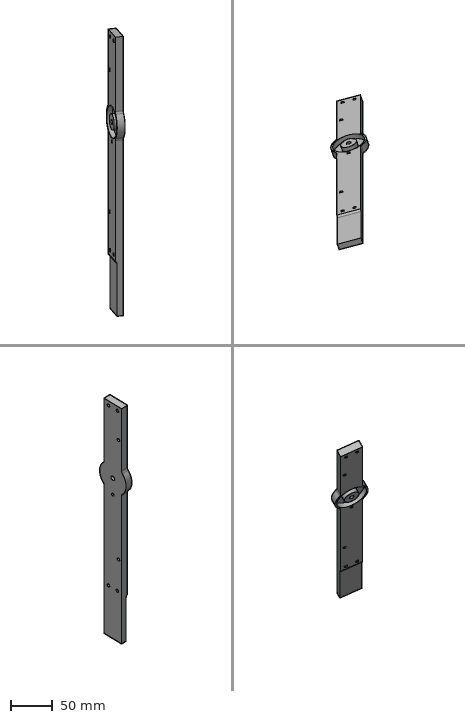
import cadquery as cq
import math

length = 359.0
bar_width = 29.8
thickness = 10.0
top_z = 114.0
bottom_z = top_z - length

disc_diameter = 45.0
blend_radius = 4.3

recess_diameter = 40.2
hub_diameter = 20.0
recess_depth = 6.8
hub_bore = 5.7

shoulder_z = -174.8
tongue_step = 2.0
shoulder_radius = 3.2

hole_diameter = 4.0
end_hole_x = 7.5
upper_hole_z = 107.0
lower_hole_z = -167.5
side_hole_x = -9.5
side_hole_heights = (63.5, -118.8)
index_hole_z = -25.0


def cylinder(x, z, diameter, depth):
    """Cylinder from the front face into the bar."""
    return cq.Workplane("XZ", origin=(x, 0, z)).circle(diameter / 2).extrude(-depth)


def make_body():
    bar = (
        cq.Workplane("XY", origin=(0, thickness / 2, bottom_z))
        .box(bar_width, thickness, length, centered=(True, True, False))
    )
    body = bar.union(cylinder(0, 0, disc_diameter, thickness))
    corner_x = bar_width / 2
    corner_z = math.sqrt((disc_diameter / 2) ** 2 - corner_x ** 2)
    reach = 0.5
    corners = cq.selectors.BoxSelector(
        (-corner_x - reach, -reach, -corner_z - reach),
        (corner_x + reach, thickness + reach, corner_z + reach),
    )
    return body.edges("|Y").edges(corners).fillet(blend_radius)


def make_recess():
    outer = cylinder(0, 0, recess_diameter, recess_depth)
    return outer.cut(cylinder(0, 0, hub_diameter, recess_depth))


def make_tongue_cut():
    """Material in front of the tongue; the shoulder arc runs tangent into the tongue face."""
    sweep = math.acos(1 - tongue_step / shoulder_radius)
    arc_base_z = shoulder_z - shoulder_radius * math.sin(sweep)
    arc_middle = (
        tongue_step - shoulder_radius * (1 - math.cos(sweep / 2)),
        arc_base_z + shoulder_radius * math.sin(sweep / 2),
    )
    return (
        cq.Workplane("YZ")
        .moveTo(0, bottom_z)
        .lineTo(tongue_step, bottom_z)
        .lineTo(tongue_step, arc_base_z)
        .threePointArc(arc_middle, (0, shoulder_z))
        .close()
        .extrude(bar_width / 2, both=True)
    )


end_holes = [(x, z) for x in (-end_hole_x, end_hole_x) for z in (upper_hole_z, lower_hole_z)]
side_holes = [(side_hole_x, z) for z in side_hole_heights]

result = make_body().cut(make_recess()).cut(make_tongue_cut())
result = result.cut(cylinder(0, 0, hub_bore, thickness))
for x, z in end_holes + side_holes + [(0, index_hole_z)]:
    result = result.cut(cylinder(x, z, hole_diameter, thickness))